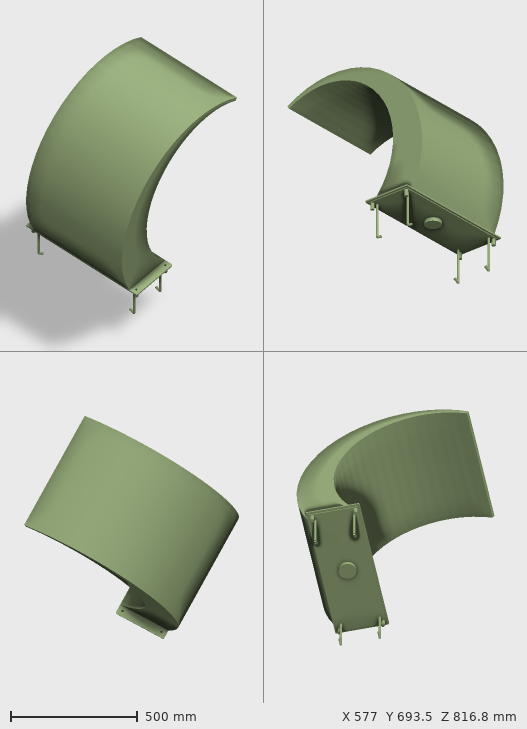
import cadquery as cq
import math

crescent_width = 500.0
outer_radius = 455.5
outer_center_y, outer_center_z = 302.0, 200.0
inner_radius = 362.0
inner_center_y, inner_center_z = 358.0, 260.0
tip_outer_y = 540.0
tip_inner_y = 532.0

plate_length = 577.0
plate_width = 216.0
plate_thickness = 6.5
plate_corner_radius = 6.5
spigot_diameter = 69.0
spigot_bottom_z = -26.0

sheet_margin = 10.0
sheet_thickness = 3.0
sheet_bottom_z = -plate_thickness - sheet_thickness

bush_diameter = 16.0
bush_bore = 9.0
bush_bore_depth = 24.5
bush_bore_tip_depth = 2.5
bush_bottom_z = -38.0
bush_x = 268.0
bush_y = 87.0

rod_diameter = 10.0
rod_x = 248.0
rod_y = 78.0
rod_bottom_z = -157.0
foot_start_z = -157.0
foot_neck_diameter = 10.0
foot_head_diameter = 11.5
foot_length = 24.5
foot_head_length = 9.0
foot_angle = 30.0


def arc_point(center_y, center_z, radius, angle):
    """Point of an arc in the YZ plane, at an angle in degrees from +Y towards +Z."""
    turn = math.radians(angle)
    return center_y + radius * math.cos(turn), center_z + radius * math.sin(turn)


def angle_at_y(center_y, radius, y):
    """Angle in degrees at which the upper half of an arc reaches a given Y."""
    return math.degrees(math.acos((y - center_y) / radius))


def foot_angle_at_plate(center_z, radius):
    """Angle in degrees at which the -Y half of an arc meets Z = 0."""
    return 180 + math.degrees(math.asin(center_z / radius))


def make_crescent():
    outer = outer_center_y, outer_center_z, outer_radius
    inner = inner_center_y, inner_center_z, inner_radius
    outer_start = foot_angle_at_plate(outer_center_z, outer_radius)
    outer_end = angle_at_y(outer_center_y, outer_radius, tip_outer_y)
    inner_start = angle_at_y(inner_center_y, inner_radius, tip_inner_y)
    inner_end = foot_angle_at_plate(inner_center_z, inner_radius)
    return (
        cq.Workplane("YZ")
        .moveTo(*arc_point(*outer, outer_start))
        .threePointArc(arc_point(*outer, (outer_start + outer_end) / 2), arc_point(*outer, outer_end))
        .lineTo(*arc_point(*inner, inner_start))
        .threePointArc(arc_point(*inner, (inner_start + inner_end) / 2), arc_point(*inner, inner_end))
        .close()
        .extrude(crescent_width / 2, both=True)
    )


def make_cylinders(points, diameter, bottom_z, top_z):
    """Upright cylinders between two heights, one at each point."""
    return (
        cq.Workplane("XY", origin=(0, 0, bottom_z))
        .pushPoints(points)
        .circle(diameter / 2)
        .extrude(top_z - bottom_z)
    )


def corner_points(x, y):
    return [(side * x, end * y) for side in (-1, 1) for end in (-1, 1)]


bush_points = corner_points(bush_x, bush_y)
bush_holes = make_cylinders(bush_points, bush_diameter, bush_bottom_z, 0)


def make_bench():
    """Crescent, base plate and spigot as one welded body."""
    plate = (
        cq.Workplane("XY")
        .rect(plate_length, plate_width)
        .extrude(-plate_thickness)
        .edges("|Z and >Y")
        .fillet(plate_corner_radius)
    )
    spigot = make_cylinders([(0, 0)], spigot_diameter, spigot_bottom_z, -plate_thickness)
    return plate.union(make_crescent()).union(spigot).cut(bush_holes)


def make_sheet():
    """Anchor sheet, cut out around the spigot and the bushes."""
    spigot_hole = make_cylinders([(0, 0)], spigot_diameter, sheet_bottom_z, -plate_thickness)
    return (
        cq.Workplane("XY", origin=(0, 0, sheet_bottom_z))
        .rect(plate_length - 2 * sheet_margin, plate_width - 2 * sheet_margin)
        .extrude(sheet_thickness)
        .cut(spigot_hole)
        .cut(bush_holes)
    )


def make_bush(point):
    """Bush with a blind bore from the top that ends in a conical drill tip."""
    outside = make_cylinders([point], bush_diameter, bush_bottom_z, 0)
    bore = make_cylinders([point], bush_bore, -bush_bore_depth, 0)
    tip = cq.Workplane(
        cq.Solid.makeCone(
            bush_bore / 2,
            0,
            bush_bore_tip_depth,
            pnt=cq.Vector(*point, -bush_bore_depth),
            dir=cq.Vector(0, 0, -1),
        )
    )
    return outside.cut(bore).cut(tip)


def make_rod(point):
    """Straight rod with a slanted foot that rises towards the middle of the plate and ends in a head."""
    x, y = point
    inward = -math.copysign(1, x)
    rise = math.radians(foot_angle)
    foot_plane = cq.Plane(
        origin=(x, y, foot_start_z),
        xDir=(0, 1, 0),
        normal=(inward * math.cos(rise), 0, math.sin(rise)),
    )
    shank = make_cylinders([point], rod_diameter, rod_bottom_z, sheet_bottom_z)
    neck = cq.Workplane(foot_plane).circle(foot_neck_diameter / 2).extrude(foot_length)
    head = (
        cq.Workplane(foot_plane)
        .workplane(offset=foot_length - foot_head_length)
        .circle(foot_head_diameter / 2)
        .extrude(foot_head_length)
    )
    return shank.union(neck).union(head)


bench = make_bench()
sheet = make_sheet()
bushes = [make_bush(point) for point in bush_points]
rods = [make_rod(point) for point in corner_points(rod_x, rod_y)]

result = cq.Compound.makeCompound(
    [bench.val(), sheet.val(), *[bush.val() for bush in bushes], *[rod.val() for rod in rods]]
)